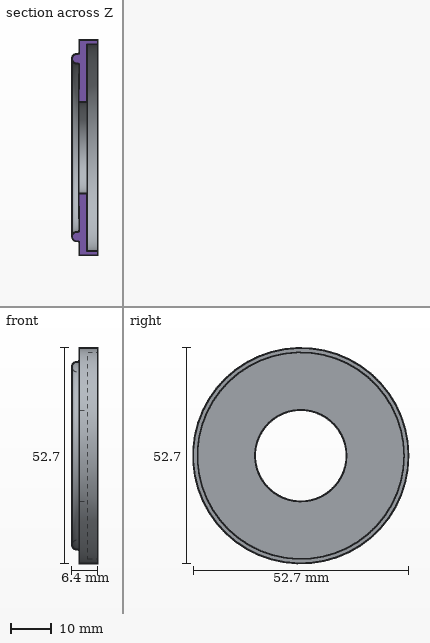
import cadquery as cq

outer_diameter = 52.7
bore_diameter = 22.3
recess_diameter = 50.5
total_thickness = 6.4
disc_thickness = 4.6
web_thickness = 1.95
face_rise = 0.15

bead_outer_diameter = 45.9
bead_inner_diameter = 41.1
bead_root_fillet = 0.35

bead_height = total_thickness - disc_thickness
bead_crest_radius = (bead_outer_diameter - bead_inner_diameter) / 4
bead_inner_radius = bead_inner_diameter / 2
bead_outer_radius = bead_outer_diameter / 2
bead_mean_radius = (bead_inner_radius + bead_outer_radius) / 2


def revolve_about_x(profile):
    """Turn a closed XY profile (Y is the radius) fully around the X axis."""
    return profile.revolve(360, (0, 0, 0), (1, 0, 0))


def make_disc():
    """Bored disc with a thin web, a rear rim and a slightly conical inner front face."""
    bore_radius = bore_diameter / 2
    outer_radius = outer_diameter / 2
    recess_radius = recess_diameter / 2
    profile = (
        cq.Workplane("XY")
        .moveTo(-face_rise, bore_radius)
        .lineTo(0, bead_inner_radius - bead_root_fillet)
        .lineTo(0, outer_radius)
        .lineTo(disc_thickness, outer_radius)
        .lineTo(disc_thickness, recess_radius)
        .lineTo(web_thickness, recess_radius)
        .lineTo(web_thickness, bore_radius)
        .close()
    )
    return revolve_about_x(profile)


def make_bead():
    """Ring with straight flanks, a half-round crest and concave root fillets."""
    flank_end = bead_crest_radius - bead_height
    fillet_offset = bead_root_fillet * (1 - 0.5**0.5)
    profile = (
        cq.Workplane("XY")
        .moveTo(0, bead_inner_radius - bead_root_fillet)
        .threePointArc(
            (-fillet_offset, bead_inner_radius - fillet_offset),
            (-bead_root_fillet, bead_inner_radius),
        )
        .lineTo(flank_end, bead_inner_radius)
        .threePointArc((-bead_height, bead_mean_radius), (flank_end, bead_outer_radius))
        .lineTo(-bead_root_fillet, bead_outer_radius)
        .threePointArc(
            (-fillet_offset, bead_outer_radius + fillet_offset),
            (0, bead_outer_radius + bead_root_fillet),
        )
        .close()
    )
    return revolve_about_x(profile)


result = make_disc().union(make_bead())